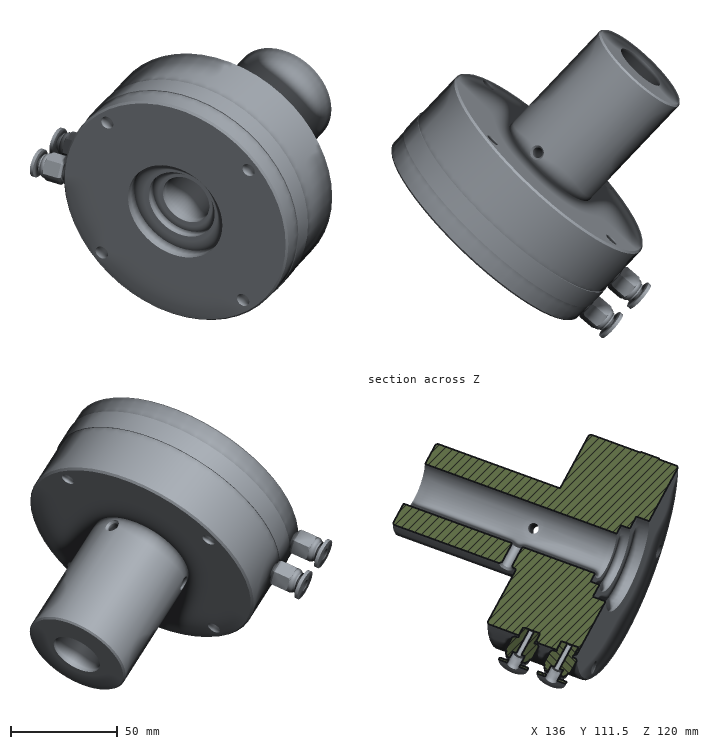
import cadquery as cq
import math


ring_diameter = 120.0
band_diameter = 119.0
front_band_width = 10.0
ring_width = 9.8
back_band_width = 26.1
disc_width = front_band_width + ring_width + back_band_width
disc_chamfer = 1.0

shaft_diameter = 51.0
total_depth = 109.5
shaft_chamfer = 0.8

bore_diameter = 24.6
seat_diameter = 35.0
recess_diameter = 50.0
recess_depth = 6.5
seat_depth = 4.5

mount_hole_diameter = 6.5
mount_hole_count = 4
mount_circle_radius = 53.0
mount_first_angle = 42.8

screw_hole_diameter = 5.0
screw_mouth_diameter = 7.0
screw_hole_count = 3
screw_first_angle = 60
screw_hole_y = disc_width + 5.0

overall_length_x = 136
fitting_tip_x = ring_diameter / 2 - overall_length_x
fitting_positions_y = (5.5, 25.0)
flange_length_y = 15.0
flange_length_z = 13.0
flange_thickness = 1.6
neck_diameter = 7.0
collar_diameter = 10.0
collar_start = 3.1
dome_start = 3.8
hex_start = 6.1
hex_end = 15.5
hex_across_flats = 12.0
hex_across_corners = hex_across_flats / math.cos(math.pi / 6)
hex_start_chamfer = 0.7
hex_bevel_length = 1.1
hex_bevel_depth = 0.8
tube_diameter = 6.0
tube_depth = 6.8
air_hole_diameter = 2.5
port_diameter = 8.5
port_depth = 5.0
port_floor_x = -band_diameter / 2 + port_depth


def cylinder_y(diameter, start_y, length):
    """Cylinder on the spindle axis, growing toward +Y from start_y."""
    plane = cq.Plane(origin=(0, start_y, 0), xDir=(1, 0, 0), normal=(0, 1, 0))
    return cq.Workplane(plane).circle(diameter / 2).extrude(length)


def plane_x(x, y=0):
    """Plane facing +X, its local axes along Y and Z."""
    return cq.Plane(origin=(x, y, 0), xDir=(0, 1, 0), normal=(1, 0, 0))


def make_disc_and_shaft():
    """Solid outside shape of the housing."""
    bands = cylinder_y(band_diameter, 0, disc_width).edges().chamfer(disc_chamfer)
    ring = cylinder_y(ring_diameter, front_band_width, ring_width)
    shaft = cylinder_y(shaft_diameter, disc_width, total_depth - disc_width)
    shaft = shaft.faces(">Y").chamfer(shaft_chamfer)
    return bands.union(ring).union(shaft)


def make_bore():
    """Front recess, seat and through bore as one cutting shape."""
    recess = cylinder_y(recess_diameter, 0, recess_depth)
    seat = cylinder_y(seat_diameter, recess_depth, seat_depth)
    return cylinder_y(bore_diameter, 0, total_depth).union(recess).union(seat)


def make_mount_hole(angle):
    """Cutting shape of one mounting hole, angle measured from +X toward +Z."""
    hole = cylinder_y(mount_hole_diameter, 0, disc_width).translate((mount_circle_radius, 0, 0))
    return hole.rotate((0, 0, 0), (0, 1, 0), -angle)


def make_screw_hole(angle):
    """Countersunk hole from the shaft surface to the bore, angle from +X toward +Z."""
    hole_radius = screw_hole_diameter / 2
    mouth_radius = screw_mouth_diameter / 2
    surface_x = shaft_diameter / 2
    mouth_x = math.sqrt(surface_x**2 - mouth_radius**2)
    sink_depth = mouth_radius - hole_radius
    profile = [
        (0, 0),
        (0, hole_radius),
        (mouth_x - sink_depth, hole_radius),
        (mouth_x, mouth_radius),
        (surface_x, mouth_radius),
        (surface_x, 0),
    ]
    hole = cq.Workplane("XY").polyline(profile).close().revolve(360, (0, 0, 0), (1, 0, 0))
    return hole.rotate((0, 0, 0), (0, 1, 0), -angle).translate((0, screw_hole_y, 0))


def make_port(y):
    """Flat-bottomed socket in the disc rim for one fitting."""
    return cq.Workplane(plane_x(port_floor_x, y)).circle(port_diameter / 2).extrude(-port_depth)


def make_housing():
    """Disc and shaft with all bores and holes cut."""
    housing = make_disc_and_shaft().cut(make_bore())
    for index in range(mount_hole_count):
        housing = housing.cut(make_mount_hole(mount_first_angle + index * 360 / mount_hole_count))
    for index in range(screw_hole_count):
        housing = housing.cut(make_screw_hole(screw_first_angle + index * 360 / screw_hole_count))
    for y in fitting_positions_y:
        housing = housing.cut(make_port(y))
    return housing


def make_fitting_core():
    """Round body of a fitting: neck, collar, dome and plug end, with its tip at X = 0."""
    neck_radius = neck_diameter / 2
    collar_radius = collar_diameter / 2
    dome_radius = hex_across_flats / 2
    port_radius = port_diameter / 2
    end_x = port_floor_x - fitting_tip_x
    dome_middle = (
        dome_start + (hex_start - dome_start) * (1 - math.cos(math.pi / 4)),
        collar_radius + (dome_radius - collar_radius) * math.sin(math.pi / 4),
    )
    return (
        cq.Workplane("XY")
        .moveTo(0, 0)
        .lineTo(0, neck_radius)
        .lineTo(collar_start, neck_radius)
        .lineTo(collar_start, collar_radius)
        .lineTo(dome_start, collar_radius)
        .threePointArc(dome_middle, (hex_start, dome_radius))
        .lineTo(hex_start, port_radius)
        .lineTo(end_x, port_radius)
        .lineTo(end_x, 0)
        .close()
        .revolve(360, (0, 0, 0), (1, 0, 0))
    )


def make_hex():
    """Hexagon with flats facing up and down, outer corners turned off, inner faces bevelled."""
    bevel_start = hex_end - hex_bevel_length
    straight_length = bevel_start - hex_start
    bevel_angle = math.degrees(math.atan(hex_bevel_depth / hex_bevel_length))
    envelope = cq.Workplane(plane_x(hex_start)).circle(hex_across_corners / 2).extrude(straight_length)
    straight = cq.Workplane(plane_x(hex_start)).polygon(6, hex_across_corners).extrude(straight_length)
    straight = straight.intersect(envelope.faces("<X").chamfer(hex_start_chamfer))
    bevel = cq.Workplane(plane_x(bevel_start)).polygon(6, hex_across_corners)
    return straight.union(bevel.extrude(hex_bevel_length, taper=bevel_angle))


def make_fitting(y):
    """One fitting: oval flange, round core and hexagon, drilled through, seated in its port."""
    flange = cq.Workplane(plane_x(0)).ellipse(flange_length_y / 2, flange_length_z / 2)
    fitting = make_fitting_core().union(flange.extrude(flange_thickness)).union(make_hex())
    tube_socket = cq.Workplane(plane_x(0)).circle(tube_diameter / 2).extrude(tube_depth)
    air_hole = cq.Workplane(plane_x(0)).circle(air_hole_diameter / 2).extrude(port_floor_x - fitting_tip_x)
    return fitting.cut(tube_socket).cut(air_hole).translate((fitting_tip_x, y, 0))


housing = make_housing()
fittings = [make_fitting(y) for y in fitting_positions_y]

result = cq.Compound.makeCompound([housing.val(), *[fitting.val() for fitting in fittings]])